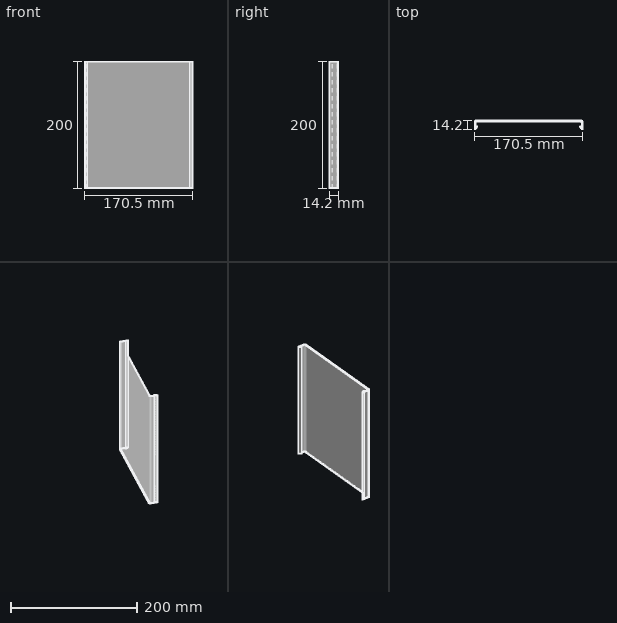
import cadquery as cq
import math

width = 170.5
depth = 14.2
height = 200.0

panel_thickness = 1.8
flange_thickness = 1.5
outer_radius = 2.5
inner_radius = 1.0

barb_reach = 4.0
barb_length = 5.0
barb_radius = 0.5
catch_angle = 20.0

half_width = width / 2
inner_half_width = half_width - flange_thickness
panel_inner_y = depth - panel_thickness

edge_centre = (half_width - barb_radius, barb_radius)
tip_centre = (half_width - barb_reach + barb_radius, barb_length - barb_radius)
ramp_normal = 180 + math.degrees(
    math.atan2(edge_centre[0] - tip_centre[0], tip_centre[1] - edge_centre[1])
)
catch_normal = 90 - catch_angle


def rounding_point(centre, angle):
    """Point on a barb rounding at the given angle, in degrees from +X."""
    angle = math.radians(angle)
    return (centre[0] + barb_radius * math.cos(angle), centre[1] + barb_radius * math.sin(angle))


def fillet_corner(body, x, y, radius):
    """Round the Z-parallel edge that passes through (x, y)."""
    return body.edges(cq.selectors.NearestToPointSelector((x, y, height / 2))).fillet(radius)


def make_half():
    """The +X half of the channel: half the panel, one flange and its barb."""
    catch_start = rounding_point(tip_centre, catch_normal)
    catch_drop = (inner_half_width - catch_start[0]) * math.tan(math.radians(catch_angle))
    half = (
        cq.Workplane("XY")
        .moveTo(0, panel_inner_y)
        .lineTo(0, depth)
        .lineTo(half_width, depth)
        .lineTo(half_width, barb_radius)
        .threePointArc(
            rounding_point(edge_centre, (ramp_normal + 360) / 2),
            rounding_point(edge_centre, ramp_normal),
        )
        .lineTo(*rounding_point(tip_centre, ramp_normal))
        .threePointArc(rounding_point(tip_centre, (ramp_normal + catch_normal) / 2), catch_start)
        .lineTo(inner_half_width, catch_start[1] - catch_drop)
        .lineTo(inner_half_width, panel_inner_y)
        .close()
        .extrude(height)
    )
    half = fillet_corner(half, half_width, depth, outer_radius)
    return fillet_corner(half, inner_half_width, panel_inner_y, inner_radius)


half = make_half()
result = half.union(half.mirror("YZ")).clean()

result = result.translate((0, -depth / 2, -height / 2))